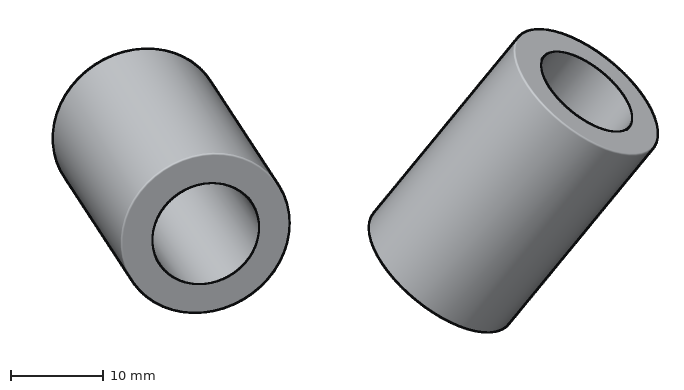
import cadquery as cq

length = 28.0
outer_diameter = 19.0
bore_diameter = 12.0
rim_radius = 0.2

end_plane = cq.Workplane("YZ", origin=(-length / 2, 0, 0))
body = (
    end_plane
    .circle(outer_diameter / 2)
    .extrude(length)
    .faces("<X or >X")
    .edges()
    .fillet(rim_radius)
)

bore = end_plane.circle(bore_diameter / 2).extrude(length)

result = body.cut(bore)